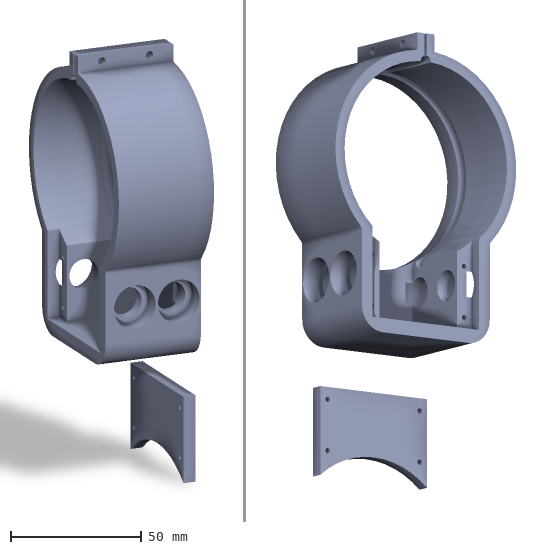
import cadquery as cq
import math

depth = 40.0
front_y = -depth / 2
back_y = depth / 2

ring_diameter = 84.7
bore_radius = 38.0
groove_radius = 2.5
groove_to_back = 10.0

tab_top_z = 49.0
tabs_width = 8.0
slot_width = 1.0
slot_relief_radius = 2.4
tab_hole_diameter = 3.0
tab_hole_below_top = 3.0
tab_hole_spacing = 20.0

box_width = 59.9
box_bottom_z = -69.8
box_corner_radius = 10.0
neck_fillet_radius = 2.0
floor_z = -64.2
cavity_width = 36.2
back_plate_thickness = 5.1

side_hole_diameter = 12.0
side_hole_depth = 15.1
counterbore_diameter = 17.5
counterbore_depth = 7.3
side_hole_z = -45.8
side_hole_from_front = 12.2
side_hole_spacing = 18.5

cover_width = 49.9
cover_thickness = 5.1
cover_bottom_z = tab_top_z - 169.7
cover_height = 34.6
screw_hole_diameter = 2.0
screw_hole_depth = 10.0
screw_spacing_x = 43.1
screw_spacing_z = 20.0
screw_above_floor = 5.1
cover_screw_below_top = 5.0


def block(width, y_start, y_end, z_low, z_high):
    """Box centred on X that spans the given Y and Z ranges."""
    return cq.Workplane("XY").box(width, y_end - y_start, z_high - z_low).translate(
        (0, (y_start + y_end) / 2, (z_low + z_high) / 2)
    )


def y_cylinder(radius, x, z, y_start, length):
    """Cylinder that runs along +Y from y_start."""
    return cq.Workplane(cq.Solid.makeCylinder(radius, length, cq.Vector(x, y_start, z), cq.Vector(0, 1, 0)))


def x_cylinder(diameter, x_start, y, z, length, direction):
    """Cylinder that runs along X from x_start, towards +X or -X."""
    return cq.Workplane(
        cq.Solid.makeCylinder(diameter / 2, length, cq.Vector(x_start, y, z), cq.Vector(direction, 0, 0))
    )


def screw_holes(top_hole_z, y_start, length):
    """Two by two pattern of screw holes, with its upper row at top_hole_z."""
    holes = cq.Workplane("XY")
    for x in (-screw_spacing_x / 2, screw_spacing_x / 2):
        for z in (top_hole_z, top_hole_z - screw_spacing_z):
            holes = holes.add(y_cylinder(screw_hole_diameter / 2, x, z, y_start, length))
    return holes.combine()


def make_outer_shape():
    """Solid ring disc joined to the box and the tabs."""
    box = block(box_width, front_y, back_y, box_bottom_z, 0)
    box = box.edges("|Y and <Z").fillet(box_corner_radius)
    disc = y_cylinder(ring_diameter / 2, 0, 0, front_y, depth)
    body = disc.union(box)

    neck_x = box_width / 2
    neck_z = -math.sqrt((ring_diameter / 2) ** 2 - neck_x**2)
    for x in (-neck_x, neck_x):
        corner = cq.selectors.NearestToPointSelector((x, 0, neck_z))
        body = body.edges("|Y").edges(corner).fillet(neck_fillet_radius)

    return body.union(block(tabs_width, front_y, back_y, bore_radius, tab_top_z))


def cut_bore(body):
    """Main bore with a round groove around its wall."""
    bore = y_cylinder(bore_radius, 0, 0, front_y, depth)
    groove = cq.Solid.makeTorus(
        bore_radius, groove_radius, cq.Vector(0, back_y - groove_to_back, 0), cq.Vector(0, 1, 0)
    )
    return body.cut(bore).cut(cq.Workplane(groove))


def cut_clamp_slot(body):
    """Slot between the tabs, its round relief, and the bolt holes across the tabs."""
    body = body.cut(block(slot_width, front_y, back_y, 0, tab_top_z))
    body = body.cut(y_cylinder(slot_relief_radius, 0, bore_radius, front_y, depth))
    for y in (-tab_hole_spacing / 2, tab_hole_spacing / 2):
        hole_z = tab_top_z - tab_hole_below_top
        body = body.cut(x_cylinder(tab_hole_diameter, -tabs_width / 2, y, hole_z, tabs_width, 1))
    return body


def cut_cavity(body):
    """Box cavity open to the front and the bore, with the cover recess and its screw holes."""
    recess_y = front_y + cover_thickness
    body = body.cut(block(cavity_width, front_y, back_y - back_plate_thickness, floor_z, 0))
    body = body.cut(block(cover_width, front_y, recess_y, floor_z, 0))
    top_screw_z = floor_z + screw_above_floor + screw_spacing_z
    return body.cut(screw_holes(top_screw_z, recess_y, screw_hole_depth))


def cut_side_holes(body):
    """Two counterbored holes through each side wall; the rear ones also notch the back plate."""
    first_y = front_y + side_hole_from_front
    for y in (first_y, first_y + side_hole_spacing):
        for side in (-1, 1):
            wall_x = side * box_width / 2
            body = body.cut(x_cylinder(side_hole_diameter, wall_x, y, side_hole_z, side_hole_depth, -side))
            body = body.cut(x_cylinder(counterbore_diameter, wall_x, y, side_hole_z, counterbore_depth, -side))
    return body


def make_clamp_housing():
    body = make_outer_shape()
    body = cut_bore(body)
    body = cut_clamp_slot(body)
    body = cut_cavity(body)
    return cut_side_holes(body)


def make_cover():
    """Flat plate below the clamp, level with its back, with a concave lower edge matching the bore."""
    top_z = cover_bottom_z + cover_height
    plate_y = back_y - cover_thickness
    arc_centre_z = cover_bottom_z - math.sqrt(bore_radius**2 - (cover_width / 2) ** 2)
    plate = block(cover_width, plate_y, back_y, cover_bottom_z, top_z)
    plate = plate.cut(y_cylinder(bore_radius, 0, arc_centre_z, plate_y, cover_thickness))
    return plate.cut(screw_holes(top_z - cover_screw_below_top, plate_y, cover_thickness))


clamp_housing = make_clamp_housing()
cover = make_cover()
result = cq.Compound.makeCompound([clamp_housing.val(), cover.val()])